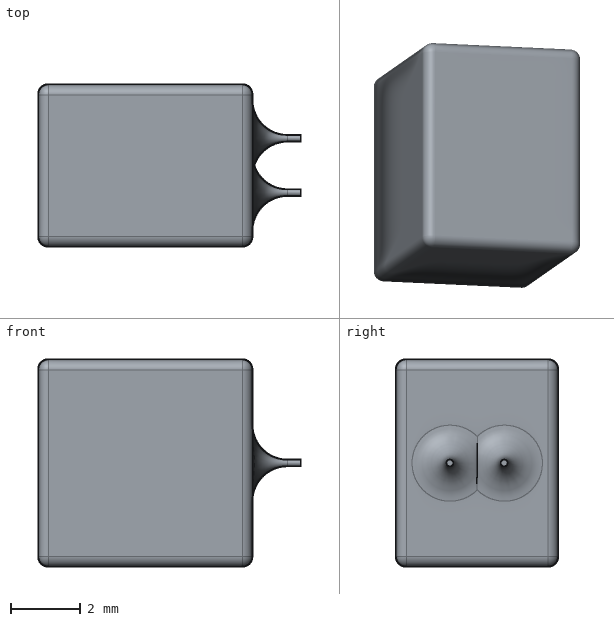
import cadquery as cq
import math

body_length = 6.2
body_width = 4.7
body_height = 6.0
edge_radius = 0.3

lead_radius = 0.1
lead_length = 1.4
lead_spacing = 1.57
flare_radius = 1.0

end_face_x = body_length / 2
full_turn = 360


def make_body():
    block = cq.Workplane("XY").box(body_length, body_width, body_height)
    return block.edges().fillet(edge_radius)


def make_lead(y_centre):
    """Round lead along +X whose root flares out tangent to the end face."""
    root_x = end_face_x - edge_radius
    flare_end_x = end_face_x + flare_radius
    tip_x = end_face_x + lead_length
    root_radius = lead_radius + flare_radius
    arc_mid_offset = flare_radius * math.sin(math.pi / 4)
    profile = (
        cq.Workplane("XZ")
        .moveTo(root_x, 0)
        .lineTo(root_x, root_radius)
        .lineTo(end_face_x, root_radius)
        .threePointArc(
            (flare_end_x - arc_mid_offset, root_radius - arc_mid_offset),
            (flare_end_x, lead_radius),
        )
        .lineTo(tip_x, lead_radius)
        .lineTo(tip_x, 0)
        .close()
    )
    lead = profile.revolve(full_turn, (0, 0, 0), (1, 0, 0))
    return lead.translate((0, y_centre, 0))


result = make_body()
for side in (-1, 1):
    result = result.union(make_lead(side * lead_spacing / 2))